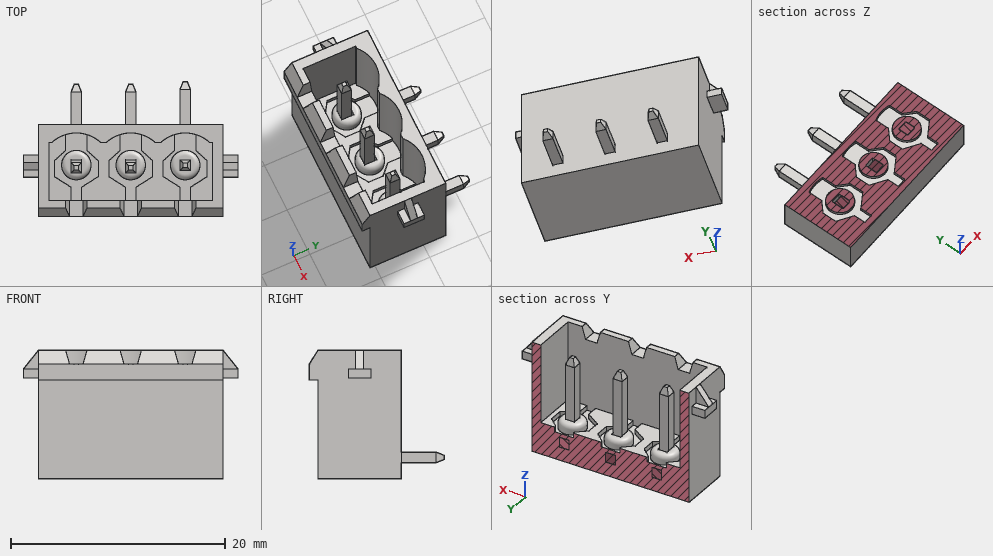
import cadquery as cq


pitch = 5.08
contact_xs = [-pitch, 0, pitch]
setback = 0.25
contact_shifts = [-setback, -setback, 0]

side_wall = 1.0
front_wall = 0.7
cavity_length = len(contact_xs) * pitch
body_length = cavity_length + 2 * side_wall
body_depth = 7.8
body_height = 12.0
cavity_floor_z = 3.5
cavity_front_y = front_wall - body_depth
cavity_rear_y = -1.7
scallop_rear_y = -0.8
scallop_half_width = 2.3

lip_overhang = 0.8
lip_height = 2.8
lip_bevel_height = 1.3
notch_top_width = 2.0
notch_bottom_width = 1.25

latch_reach = 1.4
latch_width = 2.1
latch_top_z = 10.25
latch_thickness = 0.86
latch_rib_width = 0.72
latch_y = -body_depth / 2

recess_depth = 0.5
recess_half_width = 2.05
recess_rear_half_width = 1.02
recess_front_half_width = 0.475
recess_rear_neck_y = -2.45
recess_rear_shoulder_y = -3.4
recess_front_shoulder_y = -4.87
recess_front_neck_y = -5.87
recess_floor_z = cavity_floor_z - recess_depth

collar_diameter = 2.75
collar_round = 0.5
collar_height = 1.0

wire = 1.0
wire_tip = 0.4
taper_length = 0.75
post_y = -3.8
post_top_z = 10.7
tail_z = 2.0
tail_reach = 4.0


def box(x_range, y_range, z_range):
    """Axis-aligned block between the given limits."""
    (x0, x1), (y0, y1), (z0, z1) = x_range, y_range, z_range
    return cq.Workplane("XY").box(x1 - x0, y1 - y0, z1 - z0, centered=False).translate((x0, y0, z0))


def make_shell():
    """Block with the bevelled lip overhanging its front."""
    lip_y = -body_depth - lip_overhang
    lip_bottom_z = body_height - lip_height
    profile = [
        (0, 0),
        (0, body_height),
        (-body_depth, body_height),
        (lip_y, body_height - lip_bevel_height),
        (lip_y, lip_bottom_z),
        (-body_depth, lip_bottom_z),
        (-body_depth, 0),
    ]
    return cq.Workplane("YZ").polyline(profile).close().extrude(body_length / 2, both=True)


def make_cavity():
    """Mating cavity with one scallop per contact in its rear wall."""
    half_length = cavity_length / 2
    outline = (
        cq.Workplane("XY", origin=(0, 0, cavity_floor_z))
        .moveTo(half_length, cavity_front_y)
        .lineTo(-half_length, cavity_front_y)
        .lineTo(-half_length, cavity_rear_y)
    )
    for x in contact_xs:
        outline = outline.lineTo(x - scallop_half_width, cavity_rear_y).threePointArc(
            (x, scallop_rear_y), (x + scallop_half_width, cavity_rear_y)
        )
    outline = outline.lineTo(half_length, cavity_rear_y).close()
    return outline.extrude(body_height - cavity_floor_z)


def make_recess(x):
    """Keyed recess in the cavity floor, running from the front wall to the scallop."""
    right_side = [
        (recess_rear_half_width, scallop_rear_y),
        (recess_rear_half_width, recess_rear_neck_y),
        (recess_half_width, recess_rear_shoulder_y),
        (recess_half_width, recess_front_shoulder_y),
        (recess_front_half_width, recess_front_neck_y),
        (recess_front_half_width, cavity_front_y),
    ]
    left_side = [(-half_width, y) for half_width, y in reversed(right_side)]
    recess = (
        cq.Workplane("XY", origin=(x, 0, recess_floor_z))
        .polyline(right_side + left_side)
        .close()
        .extrude(recess_depth)
    )
    cavity_footprint = make_cavity().translate((0, 0, -recess_depth))
    return recess.intersect(cavity_footprint)


def make_notch(x):
    """Tapered notch through the lip and front wall into the cavity."""
    outline = [
        (x - notch_top_width / 2, body_height),
        (x + notch_top_width / 2, body_height),
        (x + notch_bottom_width / 2, body_height - lip_bevel_height),
        (x - notch_bottom_width / 2, body_height - lip_bevel_height),
    ]
    return (
        cq.Workplane("XZ", origin=(0, cavity_front_y, 0))
        .polyline(outline)
        .close()
        .extrude(front_wall + lip_overhang)
    )


def make_collar(x):
    """Round-edged collar standing on the recess floor."""
    return (
        cq.Workplane("XY", origin=(x, post_y, recess_floor_z))
        .circle(collar_diameter / 2)
        .extrude(collar_height)
        .faces(">Z")
        .edges()
        .fillet(collar_round)
    )


def make_latch(side):
    """Latch tab with a sloping rib on one end wall; side is -1 or 1."""
    wall_x = side * body_length / 2
    tip_x = wall_x + side * latch_reach
    tab = box(
        sorted((wall_x, tip_x)),
        (latch_y - latch_width / 2, latch_y + latch_width / 2),
        (latch_top_z - latch_thickness, latch_top_z),
    )
    rib = (
        cq.Workplane("XZ", origin=(0, latch_y, 0))
        .polyline([(wall_x, latch_top_z), (tip_x, latch_top_z), (wall_x, body_height)])
        .close()
        .extrude(latch_rib_width / 2, both=True)
    )
    return tab.union(rib)


def make_contact_slot(x, shift):
    """Passage for one contact, open from its nominal rear face to the shifted front face."""
    half = wire / 2
    x_range = (x - half, x + half)
    front_y = post_y + shift - half
    tail_bottom_z = tail_z - half
    post_slot = box(x_range, (front_y, post_y + half), (tail_bottom_z, body_height))
    tail_slot = box(x_range, (front_y, 0), (tail_bottom_z, tail_z + half))
    return post_slot.union(tail_slot)


def make_housing():
    housing = make_shell().cut(make_cavity())
    for side in (-1, 1):
        housing = housing.union(make_latch(side))
    for x, shift in zip(contact_xs, contact_shifts):
        housing = housing.cut(make_recess(x)).cut(make_notch(x))
        housing = housing.union(make_collar(x)).cut(make_contact_slot(x, shift))
    return housing


def make_tapered_leg(plane, length):
    """Square leg of the given length from the plane's origin, tapered at its far end."""
    straight = cq.Workplane(plane).rect(wire, wire).extrude(length - taper_length)
    taper = (
        cq.Workplane(plane)
        .workplane(offset=length - taper_length)
        .rect(wire, wire)
        .workplane(offset=taper_length)
        .rect(wire_tip, wire_tip)
        .loft(ruled=True)
    )
    return straight.union(taper)


def make_contact(x, shift):
    """L-shaped contact: a post up the cavity and a tail out of the rear wall."""
    half = wire / 2
    tail_bottom_z = tail_z - half
    post_front_y = post_y - half
    post_plane = cq.Plane(origin=(0, post_y, tail_bottom_z), xDir=(1, 0, 0), normal=(0, 0, 1))
    tail_plane = cq.Plane(origin=(0, post_front_y, tail_z), xDir=(1, 0, 0), normal=(0, 1, 0))
    post = make_tapered_leg(post_plane, post_top_z - tail_bottom_z)
    tail = make_tapered_leg(tail_plane, tail_reach - post_front_y)
    return post.union(tail).translate((x, shift, 0))


housing = make_housing()
contacts = [make_contact(x, shift) for x, shift in zip(contact_xs, contact_shifts)]

result = cq.Compound.makeCompound([housing.solids().val(), *[contact.solids().val() for contact in contacts]])